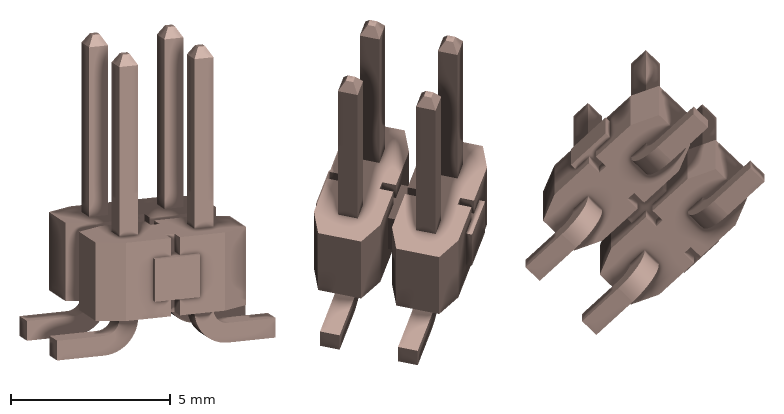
import cadquery as cq

PITCH = 2.54
SEGMENT_COUNT = 2
ROW_OFFSETS = (-PITCH / 2, PITCH / 2)

BLOCK_WIDTH = 2.16
BLOCK_LENGTH = 2 * PITCH
BLOCK_HEIGHT = PITCH
BLOCK_BOTTOM = 1.27
BLOCK_MID_HEIGHT = BLOCK_BOTTOM + BLOCK_HEIGHT / 2
CORNER_CUT_X = 0.38
CORNER_CUT_Y = 0.87

SLOT_WIDTH = 0.30
SLOT_DEPTH = 0.45
TAB_LENGTH = 1.52
TAB_HEIGHT = 1.38

PIN_SIZE = 0.64
PIN_TOP = 9.65
TIP_SIZE = 0.24
TIP_HEIGHT = 0.33
FEET_SPAN = 7.37
BEND_INNER_RADIUS = 0.50
BEND_OUTER_RADIUS = BEND_INNER_RADIUS + PIN_SIZE


def make_block():
    """Insulator with four cut corners and a full-height slot in each long side."""
    half_width = BLOCK_WIDTH / 2
    half_length = BLOCK_LENGTH / 2
    end_half_width = half_width - CORNER_CUT_X
    side_half_length = half_length - CORNER_CUT_Y
    outline = [
        (-half_width, -side_half_length),
        (-end_half_width, -half_length),
        (end_half_width, -half_length),
        (half_width, -side_half_length),
        (half_width, side_half_length),
        (end_half_width, half_length),
        (-end_half_width, half_length),
        (-half_width, side_half_length),
    ]
    block = (
        cq.Workplane("XY")
        .workplane(offset=BLOCK_BOTTOM)
        .polyline(outline)
        .close()
        .extrude(BLOCK_HEIGHT)
    )
    slots = (
        cq.Workplane("XY")
        .workplane(offset=BLOCK_BOTTOM)
        .pushPoints([(-half_width, 0), (half_width, 0)])
        .rect(2 * SLOT_DEPTH, SLOT_WIDTH)
        .extrude(BLOCK_HEIGHT)
    )
    return block.cut(slots)


def make_tabs():
    """Bar through the block: fills the slots at mid-height and stands out as a tab each side."""
    return cq.Workplane("XY").box(PITCH, TAB_LENGTH, TAB_HEIGHT).translate((0, 0, BLOCK_MID_HEIGHT))


def make_pin(row_y):
    """Square pin with a tapered tip, bent outward into a foot on its own side."""
    outward = 1 if row_y > 0 else -1
    inner_face = row_y - outward * PIN_SIZE / 2
    outer_face = row_y + outward * PIN_SIZE / 2
    bend_end = outer_face + outward * BEND_INNER_RADIUS
    foot_end = outward * FEET_SPAN / 2
    shoulder = PIN_TOP - TIP_HEIGHT

    diagonal = 0.5 ** 0.5
    inner_mid = (
        bend_end - outward * BEND_INNER_RADIUS * diagonal,
        BEND_OUTER_RADIUS - BEND_INNER_RADIUS * diagonal,
    )
    outer_mid = (
        bend_end - outward * BEND_OUTER_RADIUS * diagonal,
        BEND_OUTER_RADIUS - BEND_OUTER_RADIUS * diagonal,
    )
    shank = (
        cq.Workplane("YZ")
        .moveTo(inner_face, shoulder)
        .lineTo(inner_face, BEND_OUTER_RADIUS)
        .threePointArc(outer_mid, (bend_end, 0))
        .lineTo(foot_end, 0)
        .lineTo(foot_end, PIN_SIZE)
        .lineTo(bend_end, PIN_SIZE)
        .threePointArc(inner_mid, (outer_face, BEND_OUTER_RADIUS))
        .lineTo(outer_face, shoulder)
        .close()
        .extrude(PIN_SIZE / 2, both=True)
    )
    tip = (
        cq.Workplane("XY", origin=(0, row_y, shoulder))
        .rect(PIN_SIZE, PIN_SIZE)
        .workplane(offset=TIP_HEIGHT)
        .rect(TIP_SIZE, TIP_SIZE)
        .loft(ruled=True)
    )
    return shank.union(tip)


def make_segment(center_x):
    """One header position: block, tabs and a pin in each row, as a single solid."""
    segment = make_block().union(make_tabs())
    for row_y in ROW_OFFSETS:
        segment = segment.union(make_pin(row_y))
    return segment.translate((center_x, 0, 0))


segments = []
for index in range(SEGMENT_COUNT):
    segment_x = (index - (SEGMENT_COUNT - 1) / 2) * PITCH
    segments.extend(make_segment(segment_x).solids().vals())

result = cq.Compound.makeCompound(segments)